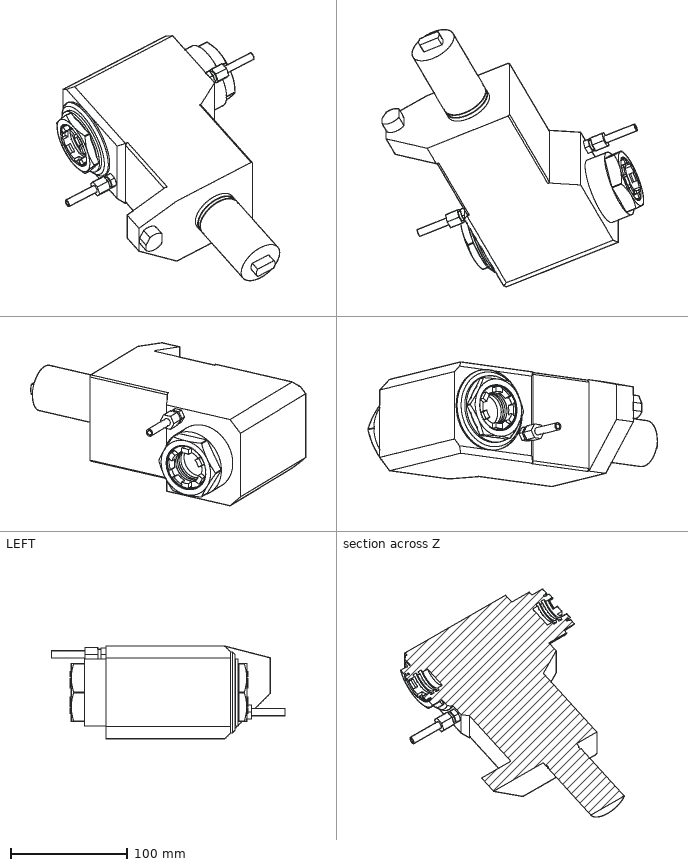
import cadquery as cq
import math


total_length = 245.0
height = 80.0
half_height = height / 2
head_front = -44.5
head_back = 62.7
head_length = 88.2
back_face_length = 74.7
left_chamfer = 10.5
front_chamfer = 5.1
neck_half_width = -head_front - front_chamfer
neck_end = 166.8
neck_front_chamfer = 2.2
neck_back_chamfer = 1.5

flange_thickness = 18.1
flange_front = -79.0
flange_shoulder_z = 30.0
flange_lower_z = -0.7
screw_y = -69.5
screw_z = 14.7
screw_diameter = 20.0
screw_length = 9.8
screw_front_flat = 8.5
screw_back_flat = 7.8
screw_tilted_flat = 8.3
screw_flat_tilt = 30.0

shank_diameter = 40.2
shank_end = 237.0
groove_start = 170.3
groove_width = 3.2
groove_diameter = 38.7
tang_diameter = 19.5
tang_thickness = 9.8

spindle_x = 36.8
collar_diameter = 58.0
seal_diameter = 70.0
seal_thickness = 4.0
seal_chamfer = 2.5
relief_diameter = 50.2
relief_width = 0.5
front_collar_width = 2.2
back_collar_width = 18.5
nut_across_flats = 50.0
nut_corner_diameter = 57.3
nut_chamfer_angle = 30.0
front_nut_height = 6.9
back_nut_height = 11.3
mouth_diameter = 40.0
mouth_depth = 1.2
recess_diameter = 38.5
recess_depth = 3.7
collet_diameter = 36.5
collet_bore = 28.0
collet_bore_depth = 19.5
collet_lip = 2.5
collet_groove_width = 3.0
collet_groove_diameter = 31.8
collet_groove_count = 2
tooth_width = 6.9
tooth_projection = 1.2
tooth_count = 6

front_collar_start = seal_thickness + relief_width
front_nut_start = front_collar_start + front_collar_width + relief_width
front_nut_top = front_nut_start + front_nut_height
back_nut_top = back_collar_width + back_nut_height

fitting_length = 47.0
seat_length = 4.5
seat_corner_diameter = 13.0
fitting_neck_diameter = 8.8
fitting_neck_length = 2.5
union_across_flats = 12.0
union_length = 11.3
tube_diameter = 6.4
tube_bore = 4.0
front_fitting_x = 76.0
front_fitting_z = -17.0
back_fitting_x = 63.0
back_fitting_z = 32.8

hex_corner_ratio = 1 / math.cos(math.radians(30))


def x_cylinder(start, end, diameter):
    return cq.Workplane("YZ").workplane(offset=start).circle(diameter / 2).extrude(end - start)


def make_head():
    """Intersect the three outlines of the head: plan, front and side."""
    plan = (
        cq.Workplane("XY")
        .workplane(offset=-half_height)
        .polyline([
            (0, head_front),
            (head_length - front_chamfer, head_front),
            (head_length, head_front + front_chamfer),
            (head_length, neck_half_width),
            (back_face_length, head_back),
            (0, head_back),
        ])
        .close()
        .extrude(height)
    )
    block = (
        cq.Workplane("XY")
        .box(head_length, head_back - head_front, height, centered=(False, False, True))
        .translate((0, head_front, 0))
    )
    left_chamfered = block.edges("|Y and <X").chamfer(left_chamfer)
    front_chamfered = block.edges("|X and <Y").chamfer(front_chamfer)
    return plan.intersect(left_chamfered).intersect(front_chamfered)


def make_neck():
    """Bar from inside the head to the shank, with chamfered long edges."""
    return (
        cq.Workplane("XY")
        .box(neck_end - spindle_x, 2 * neck_half_width, height, centered=(False, True, True))
        .translate((spindle_x, 0, 0))
        .edges("|X and <Y")
        .chamfer(neck_front_chamfer)
        .edges("|X and >Y")
        .chamfer(neck_back_chamfer)
    )


def make_flange():
    return (
        cq.Workplane("YZ")
        .workplane(offset=neck_end - flange_thickness)
        .polyline([
            (0, half_height),
            (-neck_half_width, half_height),
            (flange_front, flange_shoulder_z),
            (flange_front, flange_lower_z),
            (-neck_half_width, -half_height),
            (0, -half_height),
        ])
        .close()
        .extrude(flange_thickness)
    )


def make_screw():
    """Round head with a flat on each side and a tilted flat above the front one."""
    head = x_cylinder(neck_end, neck_end + screw_length, screw_diameter)
    flats = [
        (screw_front_flat, 0),
        (screw_tilted_flat, -screw_flat_tilt),
        (screw_back_flat, 180),
    ]
    for distance, angle in flats:
        waste = (
            cq.Workplane("XY")
            .box(screw_length, screw_diameter, 2 * screw_diameter, centered=(False, False, True))
            .translate((neck_end, -distance - screw_diameter, 0))
            .rotate((0, 0, 0), (1, 0, 0), angle)
        )
        head = head.cut(waste)
    return head.translate((0, screw_y, screw_z))


def make_shank():
    shank = x_cylinder(neck_end, shank_end, shank_diameter)
    groove = x_cylinder(groove_start, groove_start + groove_width, shank_diameter).cut(
        x_cylinder(groove_start, groove_start + groove_width, groove_diameter)
    )
    tang_length = total_length - shank_end
    tang = x_cylinder(shank_end, total_length, tang_diameter).intersect(
        cq.Workplane("XY")
        .box(tang_length, tang_diameter, tang_thickness, centered=(False, True, True))
        .translate((shank_end, 0, 0))
    )
    return shank.cut(groove).union(tang)


def disc(start, length, diameter):
    return cq.Workplane("XY").workplane(offset=start).circle(diameter / 2).extrude(length)


def hexagon(start, length, corner_diameter):
    return cq.Workplane("XY").workplane(offset=start).polygon(6, corner_diameter).extrude(length)


def face_forward(solid, x, y, z):
    return solid.rotate((0, 0, 0), (1, 0, 0), 90).translate((x, y, z))


def face_backward(solid, x, y, z):
    return solid.rotate((0, 0, 0), (1, 0, 0), -90).translate((x, y, z))


def make_nut(start, nut_height):
    """Hexagon nut with clipped corners, a conical outer edge and a toothed collet in its mouth."""
    top = start + nut_height
    face_radius = nut_across_flats / 2
    corner_radius = nut_corner_diameter / 2
    cone_drop = (corner_radius - face_radius) * math.tan(math.radians(nut_chamfer_angle))
    envelope = (
        cq.Workplane("XZ")
        .polyline([
            (0, start),
            (corner_radius, start),
            (corner_radius, top - cone_drop),
            (face_radius, top),
            (0, top),
        ])
        .close()
        .revolve(360, (0, 0, 0), (0, 1, 0))
    )
    nut = hexagon(start, nut_height, nut_across_flats * hex_corner_ratio).intersect(envelope)
    nut = nut.cut(disc(top - mouth_depth, mouth_depth, mouth_diameter))
    nut = nut.cut(disc(top - recess_depth, recess_depth, recess_diameter))

    tooth_height = recess_depth + tooth_projection
    ring = disc(top - recess_depth, tooth_height, collet_diameter)
    for index in range(tooth_count):
        tooth = (
            cq.Workplane("XY")
            .box(collet_diameter, tooth_width, tooth_height, centered=(False, True, False))
            .translate((0, 0, top - recess_depth))
            .rotate((0, 0, 0), (0, 0, 1), 30 + index * 360 / tooth_count)
        )
        nut = nut.union(tooth.intersect(ring))
    return nut


def make_collet_bore(nut_top):
    """Blind bore with wider grooves behind the collet mouth, separated by lips."""
    bore = disc(nut_top - collet_bore_depth, collet_bore_depth + tooth_projection, collet_bore)
    for index in range(1, collet_groove_count + 1):
        groove_bottom = nut_top - recess_depth - index * (collet_lip + collet_groove_width)
        bore = bore.union(disc(groove_bottom, collet_groove_width, collet_groove_diameter))
    return bore


def make_front_spindle():
    """Seal ring, collar and nut, with a narrow relief below the collar and below the nut."""
    seal = disc(0, seal_thickness, seal_diameter).faces(">Z").chamfer(seal_chamfer)
    relief = disc(seal_thickness, front_nut_start - seal_thickness, relief_diameter)
    collar = disc(front_collar_start, front_collar_width, collar_diameter)
    return seal.union(relief).union(collar).union(make_nut(front_nut_start, front_nut_height))


def make_back_spindle():
    collar = disc(0, back_collar_width, collar_diameter)
    return collar.union(make_nut(back_collar_width, back_nut_height))


def make_fitting():
    """Hexagon seat, short neck, union nut and a straight tube."""
    neck_start = seat_length
    union_start = neck_start + fitting_neck_length
    tube_start = union_start + union_length
    fitting = hexagon(0, seat_length, seat_corner_diameter)
    fitting = fitting.union(disc(neck_start, fitting_neck_length, fitting_neck_diameter))
    fitting = fitting.union(hexagon(union_start, union_length, union_across_flats * hex_corner_ratio))
    tube_length = fitting_length - tube_start
    fitting = fitting.union(disc(tube_start, tube_length, tube_diameter))
    return fitting.cut(disc(tube_start, tube_length, tube_bore))


body = make_head().union(make_neck()).union(make_flange())
body = body.union(make_screw()).union(make_shank())

body = body.union(face_forward(make_front_spindle(), spindle_x, head_front, 0))
body = body.union(face_backward(make_back_spindle(), spindle_x, head_back, 0))

body = body.cut(face_forward(make_collet_bore(front_nut_top), spindle_x, head_front, 0))
body = body.cut(face_backward(make_collet_bore(back_nut_top), spindle_x, head_back, 0))

fitting = make_fitting()
body = body.union(face_forward(fitting, front_fitting_x, head_front, front_fitting_z))
body = body.union(face_backward(fitting, back_fitting_x, head_back, back_fitting_z))

result = body